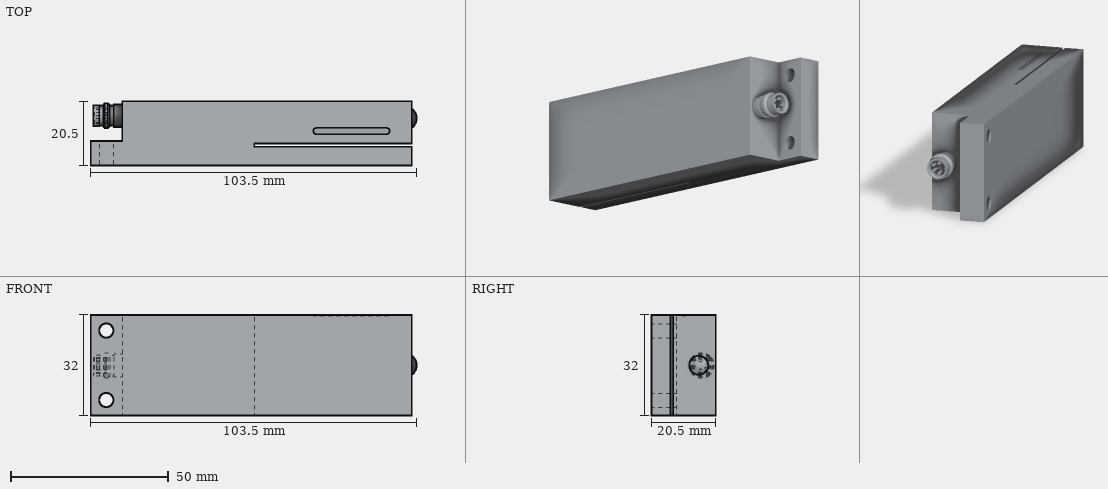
import cadquery as cq
import math

body_length = 102.0
body_depth = 20.5
body_height = 32.0
foot_length = 10.0
foot_depth = 7.9
mid_height = body_height / 2

hole_diameter = 4.5
hole_inset = 5.0

slit_start = 52.0
slit_front = 6.0
slit_width = 1.0

recess_start = 70.7
recess_end = 94.9
recess_width = 2.0
recess_y = 11.0
recess_depth = 0.2

total_length = 103.5
dome_diameter = 6.0
dome_y = 15.0

connector_y = 15.8
connector_tip = 0.8
tip_end = 2.7
flange_rise_start = 3.9
flange_start = 4.6
flange_end = 5.5
flange_fall_end = 6.1
collar_start = 7.3
tip_radius = 6.7 / 2
neck_radius = 6.5 / 2
collar_radius = 7.2 / 2
flange_radius = 8.0 / 2

socket_diameter = 5.0
socket_mouth_diameter = 5.7
socket_depth = 4.1
pin_diameter = 1.0
pin_length = 3.1
key_length = 0.7
key_width = 0.8
pin_offsets = [(1.6, 0.9), (-0.3, 1.7)]


def cylinder_x(start, end, diameter, y, z):
    """Cylinder along +X between two X positions."""
    return cq.Workplane("YZ", origin=(start, y, z)).circle(diameter / 2).extrude(end - start)


def make_body():
    outline = [
        (0, 0),
        (body_length, 0),
        (body_length, body_depth),
        (foot_length, body_depth),
        (foot_length, foot_depth),
        (0, foot_depth),
    ]
    return cq.Workplane("XY").polyline(outline).close().extrude(body_height)


def make_mounting_holes():
    centres = [(hole_inset, hole_inset), (hole_inset, body_height - hole_inset)]
    return cq.Workplane("XZ").pushPoints(centres).circle(hole_diameter / 2).extrude(-foot_depth)


def make_slit():
    slit_length = body_length - slit_start
    return (
        cq.Workplane("XY", origin=(slit_start, slit_front, 0))
        .rect(slit_length, slit_width, centered=False)
        .extrude(body_height)
    )


def make_recess():
    centre_x = (recess_start + recess_end) / 2
    return (
        cq.Workplane("XY", origin=(centre_x, recess_y, body_height))
        .slot2D(recess_end - recess_start, recess_width)
        .extrude(-recess_depth)
    )


def make_dome():
    rise = total_length - body_length
    base_radius = dome_diameter / 2
    sphere_radius = (base_radius**2 + rise**2) / (2 * rise)
    half_angle = math.asin(base_radius / sphere_radius) / 2
    arc_middle_x = rise - sphere_radius * (1 - math.cos(half_angle))
    arc_middle_radius = sphere_radius * math.sin(half_angle)
    return (
        cq.Workplane("XY", origin=(body_length, dome_y, mid_height))
        .moveTo(0, 0)
        .lineTo(0, base_radius)
        .threePointArc((arc_middle_x, arc_middle_radius), (rise, 0))
        .close()
        .revolve(360, (0, 0, 0), (1, 0, 0))
    )


def make_socket_mouth(chamfer):
    """Cone that widens the open end of the socket at 45 degrees."""
    return (
        cq.Workplane("YZ", origin=(connector_tip, connector_y, mid_height))
        .circle(socket_mouth_diameter / 2)
        .workplane(offset=chamfer)
        .circle(socket_diameter / 2)
        .loft(ruled=True)
    )


def make_connector():
    profile = [
        (connector_tip, 0),
        (connector_tip, tip_radius),
        (tip_end, tip_radius),
        (tip_end, neck_radius),
        (flange_rise_start, neck_radius),
        (flange_start, flange_radius),
        (flange_end, flange_radius),
        (flange_fall_end, neck_radius),
        (collar_start, neck_radius),
        (collar_start, collar_radius),
        (foot_length, collar_radius),
        (foot_length, 0),
    ]
    shell = (
        cq.Workplane("XY", origin=(0, connector_y, mid_height))
        .polyline(profile)
        .close()
        .revolve(360, (0, 0, 0), (1, 0, 0))
    )
    floor_x = connector_tip + socket_depth
    connector = shell.cut(cylinder_x(connector_tip, floor_x, socket_diameter, connector_y, mid_height))
    mouth_chamfer = (socket_mouth_diameter - socket_diameter) / 2
    connector = connector.cut(make_socket_mouth(mouth_chamfer))
    for offset_y, offset_z in pin_offsets:
        for side in (-1, 1):
            pin_z = mid_height + side * offset_z
            pin = cylinder_x(floor_x - pin_length, floor_x, pin_diameter, connector_y + offset_y, pin_z)
            connector = connector.union(pin)
    key = (
        cq.Workplane("YZ", origin=(floor_x - pin_length, connector_y - socket_diameter / 2, mid_height))
        .rect(key_length, key_width)
        .extrude(pin_length)
    )
    return connector.union(key)


body = make_body().cut(make_mounting_holes()).cut(make_slit()).cut(make_recess())
result = body.union(make_dome()).union(make_connector())